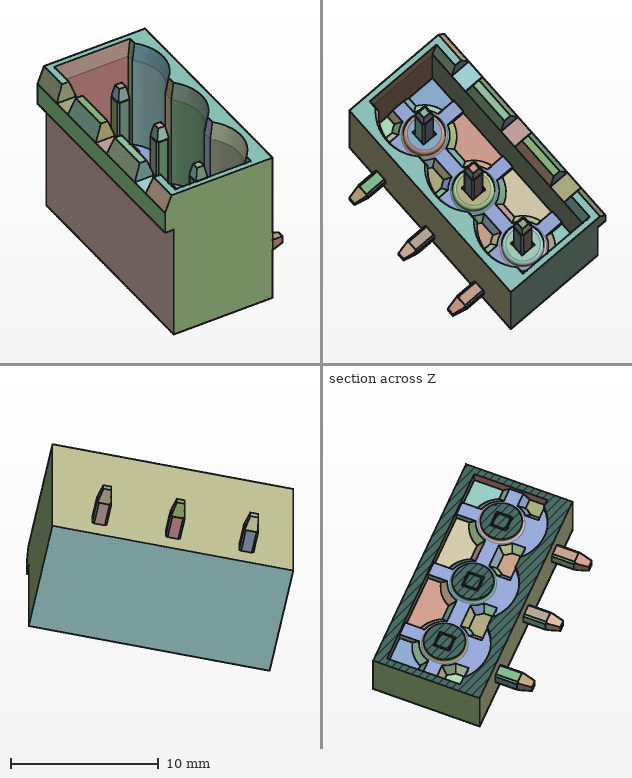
import cadquery as cq

width = 16.64
height = 12.0
lip_front_y = -4.61
lip_overhang = 0.7
lip_bottom_z = 8.99
lip_chamfer_depth = 0.52
lead_in_height = 1.31
back_y = 3.9
front_y = lip_front_y + lip_overhang
lead_in_z = height - lead_in_height

pitch = 5.08
pin_positions = [-pitch, 0.0, pitch]
pin_width = 1.0
pin_edge_chamfer = 0.13
pin_point_base = 0.93
pin_tip_width = 0.53
pin_point_length = 1.0
pin_top_z = 10.82
tail_z = 1.98
tail_length = 2.6

cavity_half_width = 7.77
cavity_front_y = -3.08
cavity_back_y = 2.23
cavity_floor_z = 3.0
side_lead_in = 0.12
front_lead_in = 0.47
back_lead_in = 0.22
scallop_center_y = 0.15
scallop_radius = 2.98

platform_height = 0.5
platform_slope = 0.47
platform_z = cavity_floor_z + platform_height
rib_half_width = 0.5
hub_radius = 1.73
channel_half_width = 1.16
front_bar_width = 1.0

collar_height = 0.67
collar_foot_radius = 1.58
collar_foot_fillet = 0.15
collar_top_fillet = 0.27
collar_socket_width = 1.13
collar_radius = collar_foot_radius - collar_foot_fillet

notch_bottom_width = 1.41
notch_top_width = 1.8


def box(x_min, x_max, y_min, y_max, z_min, z_max):
    size = (x_max - x_min, y_max - y_min, z_max - z_min)
    return cq.Workplane("XY").box(*size, centered=False).translate((x_min, y_min, z_min))


def frustum(bottom_corners, bottom_z, top_corners, top_z):
    """Solid with flat sloped sides between two polygons of equal corner count."""
    return (
        cq.Workplane("XY", origin=(0, 0, bottom_z))
        .polyline(bottom_corners)
        .close()
        .workplane(offset=top_z - bottom_z)
        .polyline(top_corners)
        .close()
        .loft(ruled=True)
    )


def cone(x, y, bottom_radius, bottom_z, top_radius, top_z):
    return cq.Workplane(
        cq.Solid.makeCone(bottom_radius, top_radius, top_z - bottom_z, pnt=cq.Vector(x, y, bottom_z))
    )


def rectangle(x_min, x_max, y_min, y_max):
    return [(x_min, y_min), (x_max, y_min), (x_max, y_max), (x_min, y_max)]


def make_shell():
    """Side profile with the overhanging, chamfered front lip."""
    profile = [
        (back_y, 0),
        (front_y, 0),
        (front_y, lip_bottom_z),
        (lip_front_y, lip_bottom_z),
        (lip_front_y, lead_in_z),
        (lip_front_y + lip_chamfer_depth, height),
        (back_y, height),
    ]
    return cq.Workplane("YZ").polyline(profile).close().extrude(width / 2, both=True)


def make_cavity():
    """Rectangular pocket with a sloped mouth and scallops in its back wall down to platform level."""
    cavity = box(
        -cavity_half_width, cavity_half_width, cavity_front_y, cavity_back_y, cavity_floor_z, height
    )
    mouth = frustum(
        rectangle(-cavity_half_width, cavity_half_width, cavity_front_y, cavity_back_y),
        lead_in_z,
        rectangle(
            -cavity_half_width - side_lead_in,
            cavity_half_width + side_lead_in,
            cavity_front_y - front_lead_in,
            cavity_back_y + back_lead_in,
        ),
        height,
    )
    cavity = cavity.union(mouth)
    back_region = box(-width / 2, width / 2, cavity_back_y, back_y, platform_z, height)
    for x in pin_positions:
        scallop = (
            cq.Workplane("XY", origin=(x, scallop_center_y, platform_z))
            .circle(scallop_radius)
            .extrude(lead_in_z - platform_z)
        )
        flare = cone(
            x, scallop_center_y, scallop_radius, lead_in_z, scallop_radius + back_lead_in, height
        )
        scallop = scallop.union(flare)
        cavity = cavity.union(scallop.intersect(back_region))
    return cavity


def make_notch(x):
    """Flared gap through the front wall, down to the foot of the lip chamfer."""
    profile = [
        (x - notch_bottom_width / 2, lead_in_z),
        (x + notch_bottom_width / 2, lead_in_z),
        (x + notch_top_width / 2, height),
        (x - notch_top_width / 2, height),
    ]
    notch_length = cavity_front_y - lip_front_y
    return (
        cq.Workplane("XZ", origin=(0, cavity_front_y, 0)).polyline(profile).close().extrude(notch_length)
    )


def make_platform():
    """Slope-sided cross rib, hubs and rear channel beds, with a straight bar in front of each pin."""
    rib_foot = rib_half_width + platform_slope
    channel_foot = channel_half_width + platform_slope
    platform = frustum(
        rectangle(-cavity_half_width, cavity_half_width, -rib_foot, rib_foot),
        cavity_floor_z,
        rectangle(-cavity_half_width, cavity_half_width, -rib_half_width, rib_half_width),
        platform_z,
    )
    for x in pin_positions:
        hub = cone(x, 0, hub_radius + platform_slope, cavity_floor_z, hub_radius, platform_z)
        bed = frustum(
            rectangle(x - channel_foot, x + channel_foot, 0, cavity_back_y),
            cavity_floor_z,
            rectangle(x - channel_half_width, x + channel_half_width, 0, cavity_back_y),
            platform_z,
        )
        bar = box(
            x - front_bar_width / 2, x + front_bar_width / 2, cavity_front_y, 0, cavity_floor_z, platform_z
        )
        platform = platform.union(hub).union(bed).union(bar)
    return platform


def make_collar(x):
    """Round boss with a concave foot fillet, a convex top fillet and a square clearance socket."""
    collar_top_z = platform_z + collar_height
    boss = (
        cq.Workplane("XZ")
        .moveTo(0, cavity_floor_z)
        .lineTo(collar_foot_radius, cavity_floor_z)
        .lineTo(collar_foot_radius, platform_z)
        .radiusArc((collar_radius, platform_z + collar_foot_fillet), collar_foot_fillet)
        .lineTo(collar_radius, collar_top_z - collar_top_fillet)
        .radiusArc((collar_radius - collar_top_fillet, collar_top_z), -collar_top_fillet)
        .lineTo(0, collar_top_z)
        .close()
        .revolve(360, (0, 0, 0), (0, 1, 0))
    )
    socket = (
        cq.Workplane("XY", origin=(0, 0, platform_z))
        .rect(collar_socket_width, collar_socket_width)
        .extrude(collar_height)
    )
    return boss.cut(socket).translate((x, 0, 0))


def make_contact(length):
    """Upright square bar with chamfered edges and a blunt four-sided point."""
    shank_length = length - pin_point_length
    half_width = pin_width / 2
    base = pin_point_base / 2
    tip = pin_tip_width / 2
    point = frustum(
        rectangle(-base, base, -base, base), shank_length, rectangle(-tip, tip, -tip, tip), length
    )
    pointed_bar = box(-half_width, half_width, -half_width, half_width, 0, shank_length).union(point)
    chamfered_bar = (
        cq.Workplane("XY")
        .rect(pin_width, pin_width)
        .extrude(length)
        .edges("|Z")
        .chamfer(pin_edge_chamfer)
    )
    return pointed_bar.intersect(chamfered_bar)


shell = make_shell().cut(make_cavity())
for x in pin_positions:
    shell = shell.cut(make_notch(x))

result = shell.union(make_platform())
for x in pin_positions:
    pin = make_contact(pin_top_z - tail_z).translate((x, 0, tail_z))
    tail = make_contact(back_y + tail_length).rotate((0, 0, 0), (1, 0, 0), -90).translate((x, 0, tail_z))
    result = result.union(make_collar(x)).union(pin).union(tail)